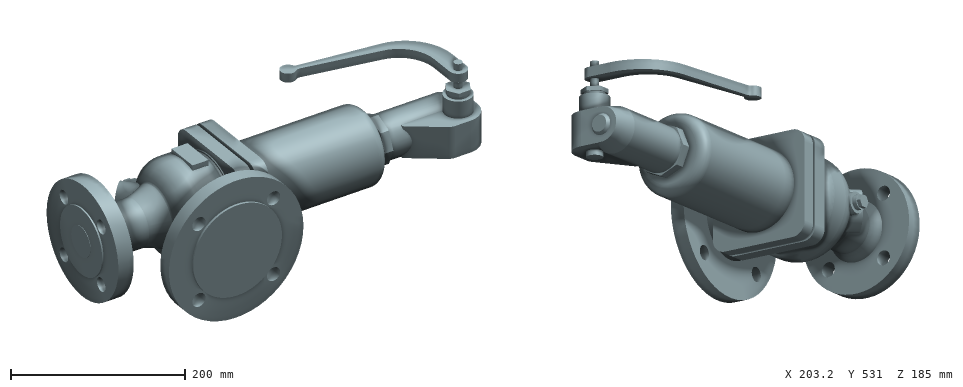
import cadquery as cq
import math


OVERALL_WIDTH_X = 203.19
HEXAGON_SIDES = 6

INLET_FACE_Y = -140.0
INLET_FLANGE_RADIUS = 75.0
INLET_FLANGE_THICKNESS = 21.0
INLET_RAISED_RADIUS = 44.0
INLET_RAISED_HEIGHT = 2.0
INLET_BOLT_CIRCLE = 110.0
INLET_SEAT_RADIUS = 20.0
INLET_SEAT_HEIGHT = 0.4
INLET_PIPE_RADIUS = 30.5
INLET_PIPE_START_Y = -100.7
INLET_PIPE_END_Y = -66.0
INLET_HUB_RADIUS = 37.0
INLET_HUB_BULGE = 0.8

OUTLET_FACE_X = 115.0
OUTLET_FLANGE_RADIUS = 92.5
OUTLET_FLANGE_THICKNESS = 18.0
OUTLET_RAISED_RADIUS = 61.0
OUTLET_RAISED_HEIGHT = 3.0
OUTLET_BOLT_CIRCLE = 145.0
OUTLET_PIPE_RADIUS = 40.5
OUTLET_PIPE_END_X = 72.0
OUTLET_HUB_RADIUS = 47.0

BOLT_HOLE_DIAMETER = 18.0
BOLT_HOLE_COUNT = 4
BOLT_START_ANGLE = 45.0

BOWL_RADIUS = 63.5
BOWL_TOP_Y = 32.0
BOWL_UPPER_Y = 14.7
BOWL_LOWER_Y = -8.0
BOWL_BOTTOM_ARC = 31.0
BOWL_NECK_RADIUS = 55.5
THROAT_RADIUS = 40.0
THROAT_BULGE = 1.0
THROAT_FILLET = 3.0

SQUARE_SIDE = 129.6
SQUARE_CORNER_RADIUS = 17.0
LOWER_SQUARE_Y = 36.0
LOWER_SQUARE_THICKNESS = 18.5
UPPER_SQUARE_Y = 58.9
UPPER_SQUARE_THICKNESS = 16.6
GASKET_RADIUS = 53.5
COLLAR_RADIUS = 57.5
COLLAR_HEIGHT = 1.5

BONNET_RADIUS = 50.0
BONNET_TOP_Y = 251.0
BONNET_SHOULDER_RADIUS = 12.5

NECK_RADIUS = 27.0
NECK_GROOVE_RADIUS = 25.0
NECK_GROOVE_WIDTH = 3.0
NUT_CORNER_RADIUS = 31.8
NUT_SIDES = 8
NUT_BOTTOM_Y = 257.3
CAP_RADIUS = 28.3
CAP_BOTTOM_Y = 269.0
CAP_CONE_Y = 360.0
CAP_CONE_TOP_RADIUS = 21.3
CAP_CONE_TOP_Y = 387.0
CAP_TIP_BASE_RADIUS = 13.0
CAP_TIP_RADIUS = 10.0
CAP_TIP_Y = 391.0

PIVOT_X = 28.1
PIVOT_Y = 360.3
LUG_RADIUS = 26.7
LUG_HALF_THICKNESS = 21.5
LUG_TOE = (22.0, 288.0)
LUG_ELBOW_Y = 334.0
LUG_ELBOW_RADIUS = 15.0
LUG_INNER_X = 5.0
PIVOT_BOSS_RADIUS = 18.0
PIVOT_BOSS_TOP_Z = 44.4
GLAND_NECK_RADIUS = 13.5
GLAND_HEX_BOTTOM_Z = 48.5
GLAND_HEX_TOP_Z = 53.7
GLAND_HEX_ACROSS_FLATS = 28.0
PIVOT_PIN_RADIUS = 5.3
PIVOT_PIN_TOP_Z = 87.0
PIVOT_FOOT_RADIUS = 10.0
PIVOT_FOOT_Z = -28.0

LEVER_BOTTOM_Z = 66.0
LEVER_THICKNESS = 12.0
LEVER_EYE_RADIUS = 11.7
LEVER_OUTER_RADIUS = 64.0
LEVER_OUTER_CENTRE_X = -2.6
LEVER_OUTER_SLOPE = 7.3
LEVER_INNER_RADIUS = 48.0
LEVER_INNER_CENTRE_X = -4.9
LEVER_INNER_SLOPE = 11.2
LEVER_ARM_END_Y = 203.0
LEVER_KNOB_RADIUS = 10.0
LEVER_KNOB_X = OUTLET_FACE_X - OVERALL_WIDTH_X + LEVER_KNOB_RADIUS
LEVER_KNOB_Y = 196.4
LEVER_KNOB_FILLET = 8.0

STUB_RADIUS = 25.0
STUB_FACE_CENTRE = (-48.0, -57.0)
STUB_LENGTH = 60.0
DRAIN_Y = -27.5
DRAIN_BOSS_RADIUS = 13.0
DRAIN_BOSS_FACE_X = -65.0
DRAIN_PLUG_RADIUS = 9.0
DRAIN_PLUG_FACE_X = -70.5
DRAIN_HEX_CORNER_DIAMETER = 16.6
DRAIN_HEX_FACE_X = -75.5

PLATE_WIDTH = 44.0
PLATE_HEIGHT = 22.0
PLATE_CENTRE_Y = 10.2
PLATE_TOP_Z = 66.7
PLATE_DEPTH = 12.0


def cylinder_x(radius, x_start, x_end, y=0.0):
    """Cylinder parallel to X."""
    return cq.Workplane("YZ", origin=(x_start, y, 0)).circle(radius).extrude(x_end - x_start)


def cylinder_z(radius, z_start, z_end):
    """Cylinder along the pivot axis."""
    return (
        cq.Workplane("XY", origin=(PIVOT_X, PIVOT_Y, z_start))
        .circle(radius)
        .extrude(z_end - z_start)
    )


def midpoint_offset(start, end, offset):
    """Middle of a chord, moved sideways by offset (to the right of travel)."""
    dx = end[0] - start[0]
    dy = end[1] - start[1]
    length = math.hypot(dx, dy)
    mid_x = (start[0] + end[0]) / 2 + offset * dy / length
    mid_y = (start[1] + end[1]) / 2 - offset * dx / length
    return mid_x, mid_y


def turned_valve():
    """Inlet flange, pipe, bowl, bonnet and cap, turned about Y."""
    flange_front_y = INLET_FACE_Y + INLET_SEAT_HEIGHT + INLET_RAISED_HEIGHT
    flange_back_y = flange_front_y + INLET_FLANGE_THICKNESS
    hub = (INLET_HUB_RADIUS, flange_back_y)
    pipe_start = (INLET_PIPE_RADIUS, INLET_PIPE_START_Y)
    pipe_end = (INLET_PIPE_RADIUS, INLET_PIPE_END_Y)
    bowl_core = BOWL_RADIUS - BOWL_BOTTOM_ARC
    throat_angle = math.acos((THROAT_RADIUS - bowl_core) / BOWL_BOTTOM_ARC)
    throat = (THROAT_RADIUS, BOWL_LOWER_Y - BOWL_BOTTOM_ARC * math.sin(throat_angle))
    bowl_mid = (
        bowl_core + BOWL_BOTTOM_ARC * math.cos(throat_angle / 2),
        BOWL_LOWER_Y - BOWL_BOTTOM_ARC * math.sin(throat_angle / 2),
    )
    shoulder_flat = BONNET_RADIUS - BONNET_SHOULDER_RADIUS
    shoulder_y = BONNET_TOP_Y - BONNET_SHOULDER_RADIUS
    diagonal = BONNET_SHOULDER_RADIUS * math.sqrt(0.5)
    bowl_rise = BOWL_TOP_Y - BOWL_UPPER_Y
    bowl_step = BOWL_RADIUS - BOWL_NECK_RADIUS
    upper_arc = (bowl_rise ** 2 + bowl_step ** 2) / (2 * bowl_step)
    upper_angle = math.asin(bowl_rise / upper_arc) / 2
    upper_mid = (
        BOWL_RADIUS - upper_arc * (1 - math.cos(upper_angle)),
        BOWL_UPPER_Y + upper_arc * math.sin(upper_angle),
    )
    profile = (
        cq.Workplane("XY")
        .moveTo(0, INLET_FACE_Y)
        .lineTo(INLET_SEAT_RADIUS, INLET_FACE_Y)
        .lineTo(INLET_SEAT_RADIUS, INLET_FACE_Y + INLET_SEAT_HEIGHT)
        .lineTo(INLET_RAISED_RADIUS, INLET_FACE_Y + INLET_SEAT_HEIGHT)
        .lineTo(INLET_RAISED_RADIUS, flange_front_y)
        .lineTo(INLET_FLANGE_RADIUS, flange_front_y)
        .lineTo(INLET_FLANGE_RADIUS, flange_back_y)
        .lineTo(*hub)
        .threePointArc(midpoint_offset(hub, pipe_start, -INLET_HUB_BULGE), pipe_start)
        .lineTo(*pipe_end)
        .threePointArc(midpoint_offset(pipe_end, throat, -THROAT_BULGE), throat)
        .threePointArc(bowl_mid, (BOWL_RADIUS, BOWL_LOWER_Y))
        .lineTo(BOWL_RADIUS, BOWL_UPPER_Y)
        .threePointArc(upper_mid, (BOWL_NECK_RADIUS, BOWL_TOP_Y))
        .lineTo(BOWL_NECK_RADIUS, LOWER_SQUARE_Y - COLLAR_HEIGHT)
        .lineTo(COLLAR_RADIUS, LOWER_SQUARE_Y - COLLAR_HEIGHT)
        .lineTo(COLLAR_RADIUS, LOWER_SQUARE_Y)
        .lineTo(GASKET_RADIUS, LOWER_SQUARE_Y)
        .lineTo(GASKET_RADIUS, UPPER_SQUARE_Y - COLLAR_HEIGHT)
        .lineTo(COLLAR_RADIUS, UPPER_SQUARE_Y - COLLAR_HEIGHT)
        .lineTo(COLLAR_RADIUS, UPPER_SQUARE_Y)
        .lineTo(BONNET_RADIUS, UPPER_SQUARE_Y)
        .lineTo(BONNET_RADIUS, shoulder_y)
        .threePointArc(
            (shoulder_flat + diagonal, shoulder_y + diagonal),
            (shoulder_flat, BONNET_TOP_Y),
        )
        .lineTo(NECK_GROOVE_RADIUS, BONNET_TOP_Y)
        .lineTo(NECK_GROOVE_RADIUS, BONNET_TOP_Y + NECK_GROOVE_WIDTH)
        .lineTo(NECK_RADIUS, BONNET_TOP_Y + NECK_GROOVE_WIDTH)
        .lineTo(NECK_RADIUS, CAP_BOTTOM_Y)
        .lineTo(CAP_RADIUS, CAP_BOTTOM_Y)
        .lineTo(CAP_RADIUS, CAP_CONE_Y)
        .lineTo(CAP_CONE_TOP_RADIUS, CAP_CONE_TOP_Y)
        .lineTo(CAP_TIP_BASE_RADIUS, CAP_CONE_TOP_Y)
        .lineTo(CAP_TIP_RADIUS, CAP_TIP_Y)
        .lineTo(0, CAP_TIP_Y)
        .close()
    )
    turned = profile.revolve(360, (0, 0, 0), (0, 1, 0))
    throat_edge = cq.selectors.NearestToPointSelector((0, throat[1], 0))
    return turned.edges(throat_edge).fillet(THROAT_FILLET)


def square_flange(y_start, thickness):
    """Square bonnet flange with rounded corners."""
    return (
        cq.Workplane("XZ", origin=(0, y_start + thickness, 0))
        .rect(SQUARE_SIDE, SQUARE_SIDE)
        .extrude(thickness)
        .edges("|Y")
        .fillet(SQUARE_CORNER_RADIUS)
    )


def locknut():
    """Eight-sided nut under the cap."""
    return (
        cq.Workplane("XZ", origin=(0, CAP_BOTTOM_Y, 0))
        .polygon(NUT_SIDES, 2 * NUT_CORNER_RADIUS)
        .extrude(CAP_BOTTOM_Y - NUT_BOTTOM_Y)
    )


def outlet():
    """Outlet pipe, flared hub and flange, turned about X."""
    flange_front_x = OUTLET_FACE_X - OUTLET_RAISED_HEIGHT
    flange_back_x = flange_front_x - OUTLET_FLANGE_THICKNESS
    profile = (
        cq.Workplane("XY")
        .lineTo(0, OUTLET_PIPE_RADIUS)
        .lineTo(OUTLET_PIPE_END_X, OUTLET_PIPE_RADIUS)
        .lineTo(flange_back_x, OUTLET_HUB_RADIUS)
        .lineTo(flange_back_x, OUTLET_FLANGE_RADIUS)
        .lineTo(flange_front_x, OUTLET_FLANGE_RADIUS)
        .lineTo(flange_front_x, OUTLET_RAISED_RADIUS)
        .lineTo(OUTLET_FACE_X, OUTLET_RAISED_RADIUS)
        .lineTo(OUTLET_FACE_X, 0)
        .close()
    )
    return profile.revolve(360, (0, 0, 0), (1, 0, 0))


def bolt_holes(plane, origin, bolt_circle, depth):
    """Ring of bolt holes set off 45 degrees from the axes."""
    return (
        cq.Workplane(plane, origin=origin)
        .polarArray(bolt_circle / 2, BOLT_START_ANGLE, 360, BOLT_HOLE_COUNT)
        .circle(BOLT_HOLE_DIAMETER / 2)
        .extrude(depth)
    )


def lug():
    """Plate on the +X side of the cap, rounded about the pivot and tapering down to the tube."""
    side_x = PIVOT_X + LUG_RADIUS
    top_y = PIVOT_Y + LUG_RADIUS
    plate = (
        cq.Workplane("XY", origin=(0, 0, -LUG_HALF_THICKNESS))
        .moveTo(LUG_INNER_X, LUG_TOE[1])
        .lineTo(*LUG_TOE)
        .lineTo(side_x, LUG_ELBOW_Y)
        .lineTo(side_x, top_y)
        .lineTo(LUG_INNER_X, top_y)
        .close()
        .extrude(2 * LUG_HALF_THICKNESS)
    )
    corner = cq.selectors.NearestToPointSelector((side_x, top_y, 0))
    elbow = cq.selectors.NearestToPointSelector((side_x, LUG_ELBOW_Y, 0))
    plate = plate.edges(corner).fillet(LUG_RADIUS)
    return plate.edges(elbow).fillet(LUG_ELBOW_RADIUS)


def pivot():
    """Boss, gland with hexagon, pin and lower foot on the pivot axis."""
    hexagon = (
        cq.Workplane("XY", origin=(PIVOT_X, PIVOT_Y, GLAND_HEX_BOTTOM_Z))
        .polygon(HEXAGON_SIDES, GLAND_HEX_ACROSS_FLATS, circumscribed=True)
        .extrude(GLAND_HEX_TOP_Z - GLAND_HEX_BOTTOM_Z)
    )
    return (
        cylinder_z(PIVOT_BOSS_RADIUS, 0, PIVOT_BOSS_TOP_Z)
        .union(cylinder_z(GLAND_NECK_RADIUS, 0, GLAND_HEX_BOTTOM_Z))
        .union(hexagon)
        .union(cylinder_z(PIVOT_PIN_RADIUS, 0, PIVOT_PIN_TOP_Z))
        .union(cylinder_z(PIVOT_FOOT_RADIUS, PIVOT_FOOT_Z, 0))
    )


def arc_point(centre_x, top_y, radius, angle):
    """Point on an arc that touches top_y above its centre, at an angle from +X."""
    turn = math.radians(angle)
    return centre_x + radius * math.cos(turn), top_y - radius + radius * math.sin(turn)


def arm_end(start, slope):
    """Point where a straight lever edge, leaning by slope degrees from Y, ends."""
    drop = start[1] - LEVER_ARM_END_Y
    return start[0] - drop * math.tan(math.radians(slope)), LEVER_ARM_END_Y


def lever():
    """Curved flat lever with an eye on the pivot and a round knob at its tip."""
    outer_y = PIVOT_Y + LEVER_EYE_RADIUS
    inner_y = PIVOT_Y - LEVER_EYE_RADIUS
    outer_end_angle = 180 - LEVER_OUTER_SLOPE
    inner_end_angle = 180 - LEVER_INNER_SLOPE
    outer_end = arc_point(LEVER_OUTER_CENTRE_X, outer_y, LEVER_OUTER_RADIUS, outer_end_angle)
    outer_mid = arc_point(LEVER_OUTER_CENTRE_X, outer_y, LEVER_OUTER_RADIUS, (90 + outer_end_angle) / 2)
    inner_end = arc_point(LEVER_INNER_CENTRE_X, inner_y, LEVER_INNER_RADIUS, inner_end_angle)
    inner_mid = arc_point(LEVER_INNER_CENTRE_X, inner_y, LEVER_INNER_RADIUS, (90 + inner_end_angle) / 2)
    bar = (
        cq.Workplane("XY", origin=(0, 0, LEVER_BOTTOM_Z))
        .moveTo(PIVOT_X, outer_y)
        .lineTo(LEVER_OUTER_CENTRE_X, outer_y)
        .threePointArc(outer_mid, outer_end)
        .lineTo(*arm_end(outer_end, LEVER_OUTER_SLOPE))
        .lineTo(*arm_end(inner_end, LEVER_INNER_SLOPE))
        .lineTo(*inner_end)
        .threePointArc(inner_mid, (LEVER_INNER_CENTRE_X, inner_y))
        .lineTo(PIVOT_X, inner_y)
        .threePointArc((PIVOT_X + LEVER_EYE_RADIUS, PIVOT_Y), (PIVOT_X, outer_y))
        .close()
        .extrude(LEVER_THICKNESS)
    )
    knob = (
        cq.Workplane("XY", origin=(LEVER_KNOB_X, LEVER_KNOB_Y, LEVER_BOTTOM_Z))
        .circle(LEVER_KNOB_RADIUS)
        .extrude(LEVER_THICKNESS)
    )
    joint_low = (LEVER_KNOB_X - LEVER_KNOB_RADIUS, LEVER_ARM_END_Y, LEVER_BOTTOM_Z)
    joint_high = (
        LEVER_KNOB_X + LEVER_KNOB_RADIUS,
        LEVER_KNOB_Y + LEVER_KNOB_RADIUS,
        LEVER_BOTTOM_Z + LEVER_THICKNESS,
    )
    joints = cq.selectors.BoxSelector(joint_low, joint_high)
    return bar.union(knob).edges("|Z").edges(joints).fillet(LEVER_KNOB_FILLET)


def drain():
    """Slanted blind stub and the drain boss with its hexagon plug."""
    stub_plane = cq.Plane(origin=(*STUB_FACE_CENTRE, 0), xDir=(0, 0, 1), normal=(1, 1, 0))
    stub = cq.Workplane(stub_plane).circle(STUB_RADIUS).extrude(STUB_LENGTH)
    plug_hexagon = (
        cq.Workplane("YZ", origin=(DRAIN_HEX_FACE_X, DRAIN_Y, 0))
        .polygon(HEXAGON_SIDES, DRAIN_HEX_CORNER_DIAMETER)
        .extrude(-DRAIN_HEX_FACE_X)
    )
    return (
        stub.union(cylinder_x(DRAIN_BOSS_RADIUS, DRAIN_BOSS_FACE_X, 0, DRAIN_Y))
        .union(cylinder_x(DRAIN_PLUG_RADIUS, DRAIN_PLUG_FACE_X, 0, DRAIN_Y))
        .union(plug_hexagon)
    )


def nameplate():
    """Flat rectangular pad on top of the bowl."""
    return (
        cq.Workplane("XY", origin=(0, PLATE_CENTRE_Y, PLATE_TOP_Z - PLATE_DEPTH))
        .rect(PLATE_WIDTH, PLATE_HEIGHT)
        .extrude(PLATE_DEPTH)
    )


valve = (
    turned_valve()
    .union(outlet())
    .union(square_flange(LOWER_SQUARE_Y, LOWER_SQUARE_THICKNESS))
    .union(square_flange(UPPER_SQUARE_Y, UPPER_SQUARE_THICKNESS))
    .union(locknut())
    .union(lug())
    .union(pivot())
    .union(lever())
    .union(drain())
    .union(nameplate())
)
inlet_drill_depth = INLET_SEAT_HEIGHT + INLET_RAISED_HEIGHT + INLET_FLANGE_THICKNESS
outlet_drill_depth = OUTLET_RAISED_HEIGHT + OUTLET_FLANGE_THICKNESS
inlet_holes = bolt_holes(
    "XZ", (0, INLET_FACE_Y + inlet_drill_depth, 0), INLET_BOLT_CIRCLE, inlet_drill_depth
)
outlet_holes = bolt_holes(
    "YZ", (OUTLET_FACE_X - outlet_drill_depth, 0, 0), OUTLET_BOLT_CIRCLE, outlet_drill_depth
)
result = valve.cut(inlet_holes).cut(outlet_holes)